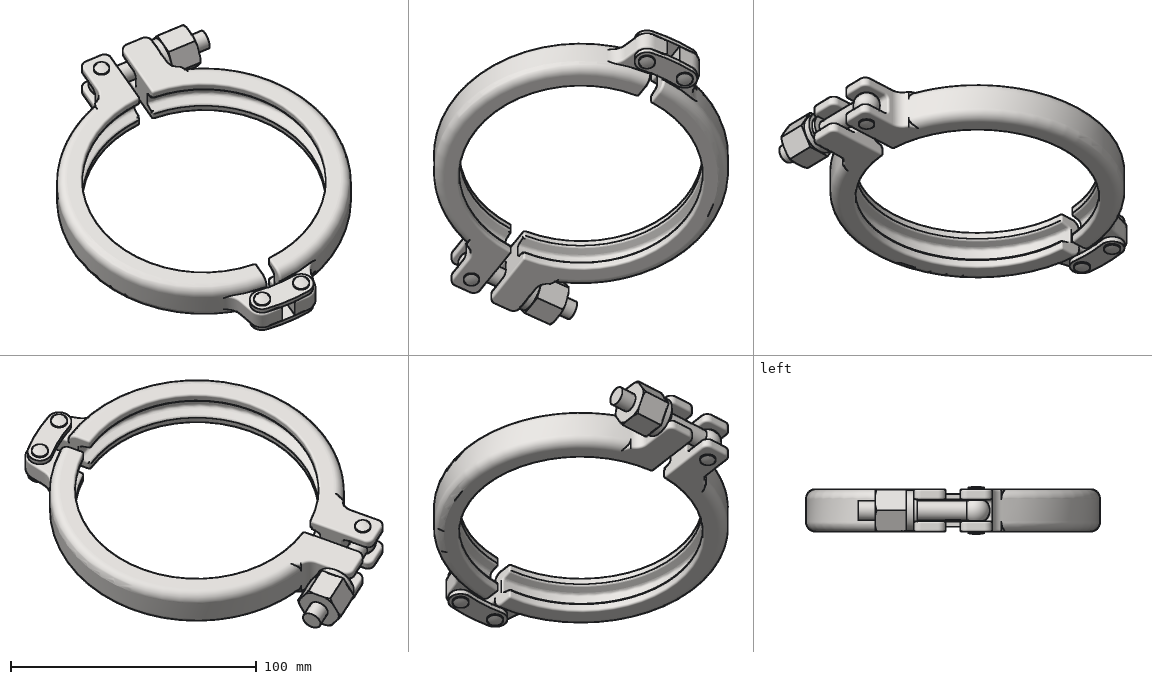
import cadquery as cq
import math

RING_OUTER_DIAMETER = 119.7
RING_OUTER_RADIUS = RING_OUTER_DIAMETER / 2
RING_INNER_RADIUS = 49.5
HALF_HEIGHT = 8.7
RING_ROUNDING = 4.1
EDGE_ROUNDING = 0.9
HALF_GAP = 2.9
CHANNEL_RADIUS = 54.3
CHANNEL_MOUTH_HALF_HEIGHT = 4.5
CHANNEL_FLOOR_HALF_HEIGHT = 3.4
CHANNEL_FLOOR_ROUNDING = 1.5

FORK_END_X = -77.3
FORK_OUTER_Y = 16.0
FORK_CORNER_RADIUS = 3.0
FORK_BLEND_RADIUS = 5.5
FORK_ROOT_RADIUS = 53.4
FORK_ROOT_ANGLE = 153.5
FORK_ROOT_X = -46.5
SLOT_HALF_HEIGHT = 4.4
SLOT_FLOOR_X = -64.3
SLOT_CORNER_RADIUS = 1.8

HINGE_X = 66.5
HINGE_Y = 9.0
LUG_RADIUS = 6.0
LUG_HALF_HEIGHT = 4.4
LUG_FLANK_ANGLE = 14.0
LUG_BLEND_RADIUS = 7.6
LUG_ROOT_X = 54.9
LINK_HALF_WIDTH = 5.0
LINK_THICKNESS = 2.3
HINGE_PIN_RADIUS = 3.4

PIN_CIRCLE_RADIUS = math.hypot(HINGE_X, HINGE_Y)
PIN_ANGLE = math.degrees(math.atan2(HINGE_Y, HINGE_X))

PIN_RIM_HEIGHT = 0.6
PIN_DOME_HEIGHT = 0.38
FORK_PIN_RADIUS = 3.2

BOLT_X = -70.3
FORK_PIN_Y = -(HALF_GAP + FORK_OUTER_Y) / 2
BALL_RADIUS = 5.5
BALL_HALF_HEIGHT = 4.1
ROD_RADIUS = 4.0
ROD_END_Y = 38.4
WASHER_RADIUS = 8.2
WASHER_THICKNESS = 2.9
COLLAR_RADIUS = 6.5
COLLAR_DEPTH = 1.5
NUT_CORNER_RADIUS = 9.8
NUT_HEIGHT = 12.7
NUT_CHAMFER_HEIGHT = 0.53
NUT_CHAMFER_WIDTH = 0.9


def polar(radius, degrees, center=(0, 0)):
    """Point at a distance and direction from a center."""
    angle = math.radians(degrees)
    return (center[0] + radius * math.cos(angle), center[1] + radius * math.sin(angle))


def disc(radius, half_height):
    return cq.Workplane("XY").circle(radius).extrude(half_height, both=True)


def bolt_cylinder(radius, start_y, end_y):
    """Round stretch of the bolt between two Y positions."""
    return cq.Workplane("XZ", origin=(BOLT_X, start_y, 0)).circle(radius).extrude(start_y - end_y)


def washer_collar():
    """Collar under the washer; it also shapes the seat in the upper arm."""
    return bolt_cylinder(COLLAR_RADIUS, FORK_OUTER_Y - COLLAR_DEPTH, FORK_OUTER_Y)



def ring_bore():
    """Cutter for the bore and the V-sided channel, rounded at its floor and mouths."""
    bore = disc(RING_INNER_RADIUS, 2 * HALF_HEIGHT)
    channel = (
        cq.Workplane("XZ")
        .moveTo(0, CHANNEL_MOUTH_HALF_HEIGHT)
        .lineTo(RING_INNER_RADIUS, CHANNEL_MOUTH_HALF_HEIGHT)
        .lineTo(CHANNEL_RADIUS, CHANNEL_FLOOR_HALF_HEIGHT)
        .lineTo(CHANNEL_RADIUS, -CHANNEL_FLOOR_HALF_HEIGHT)
        .lineTo(RING_INNER_RADIUS, -CHANNEL_MOUTH_HALF_HEIGHT)
        .lineTo(0, -CHANNEL_MOUTH_HALF_HEIGHT)
        .close()
        .revolve(360, (0, 0, 0), (0, 1, 0))
    )
    channel = channel.edges(cq.selectors.RadiusNthSelector(-1)).fillet(CHANNEL_FLOOR_ROUNDING)
    cutter = bore.union(channel)
    reach = 2 * CHANNEL_MOUTH_HALF_HEIGHT
    near_mouths = cq.selectors.BoxSelector((-1.5, -1.5, -reach), (1.5, 1.5, reach))
    mouths = cq.selectors.RadiusNthSelector(0)
    return cutter.edges("%CIRCLE").edges(near_mouths).edges(mouths).fillet(EDGE_ROUNDING)


def half_ring():
    ring = disc(RING_OUTER_RADIUS, HALF_HEIGHT).edges("%CIRCLE").fillet(RING_ROUNDING)
    ring = ring.cut(ring_bore())
    bore_rim = cq.selectors.RadiusNthSelector(0)
    ring = ring.faces("<Z or >Z").edges(bore_rim).fillet(EDGE_ROUNDING)
    size = 3 * RING_OUTER_RADIUS
    plus_y_side = cq.Workplane("XY").box(size, size, size).translate((0, HALF_GAP + size / 2, 0))
    return ring.intersect(plus_y_side).faces("<Y").edges().fillet(EDGE_ROUNDING)


def fork_slot():
    """Cutter for the slot, open at the arm's end and through along Y."""
    length = 2 * (SLOT_FLOOR_X - FORK_END_X)
    slot = cq.Workplane("XY").box(length, 4 * FORK_OUTER_Y, 2 * SLOT_HALF_HEIGHT)
    slot = slot.edges("|Y and >X").fillet(SLOT_CORNER_RADIUS)
    return slot.translate((SLOT_FLOOR_X - length / 2, 0, 0))


def fork_blank():
    """Arm outline, with its hollow rounding tangent to the ring."""
    center_y = FORK_OUTER_Y + FORK_BLEND_RADIUS
    center_x = -math.sqrt((RING_OUTER_RADIUS + FORK_BLEND_RADIUS) ** 2 - center_y**2)
    center = (center_x, center_y)
    toward_ring = math.degrees(math.atan2(-center_y, -center_x))
    return (
        cq.Workplane("XY")
        .moveTo(FORK_END_X, HALF_GAP)
        .lineTo(FORK_END_X, FORK_OUTER_Y)
        .lineTo(center_x, FORK_OUTER_Y)
        .threePointArc(
            polar(FORK_BLEND_RADIUS, (toward_ring - 90) / 2, center),
            polar(FORK_BLEND_RADIUS, toward_ring, center),
        )
        .lineTo(*polar(FORK_ROOT_RADIUS, FORK_ROOT_ANGLE))
        .lineTo(FORK_ROOT_X, HALF_GAP)
        .close()
        .extrude(HALF_HEIGHT, both=True)
        .edges("|Z and <X")
        .fillet(FORK_CORNER_RADIUS)
    )


def fork_arm():
    arm = fork_blank().faces("<Z or >Z").edges().fillet(EDGE_ROUNDING).cut(fork_slot())
    margin = EDGE_ROUNDING / 2
    slot_mouth = cq.selectors.BoxSelector(
        (FORK_END_X - margin, HALF_GAP - margin, -SLOT_HALF_HEIGHT - margin),
        (SLOT_FLOOR_X + margin, FORK_OUTER_Y + margin, SLOT_HALF_HEIGHT + margin),
    )
    arm = arm.edges(slot_mouth).edges("not |Y").fillet(EDGE_ROUNDING)
    rim_clearance = disc(RING_INNER_RADIUS + EDGE_ROUNDING, 2 * HALF_HEIGHT)
    return arm.cut(ring_bore()).cut(rim_clearance)


def hinge_lug():
    """Lug around the hinge pin, with a sloping flank that blends into the ring."""
    pin = (HINGE_X, HINGE_Y)
    flank_normal = 90 - LUG_FLANK_ANGLE
    flank_end = polar(LUG_RADIUS, flank_normal, pin)
    pin_along_normal = PIN_CIRCLE_RADIUS * math.cos(math.radians(flank_normal - PIN_ANGLE))
    blend_reach = RING_OUTER_RADIUS + LUG_BLEND_RADIUS
    blend_offset = pin_along_normal + LUG_RADIUS + LUG_BLEND_RADIUS
    blend_angle = flank_normal - math.degrees(math.acos(blend_offset / blend_reach))
    blend = polar(blend_reach, blend_angle)
    toward_flank = flank_normal - 180
    toward_ring = blend_angle - 180
    end_x = HINGE_X + LUG_RADIUS
    lug = (
        cq.Workplane("XY")
        .moveTo(LUG_ROOT_X, HALF_GAP)
        .lineTo(end_x, HALF_GAP)
        .lineTo(end_x, HINGE_Y)
        .threePointArc(polar(LUG_RADIUS, flank_normal / 2, pin), flank_end)
        .lineTo(*polar(LUG_BLEND_RADIUS, toward_flank, blend))
        .threePointArc(
            polar(LUG_BLEND_RADIUS, (toward_flank + toward_ring) / 2, blend),
            polar(LUG_BLEND_RADIUS, toward_ring, blend),
        )
        .lineTo(LUG_ROOT_X, HINGE_Y)
        .close()
        .extrude(LUG_HALF_HEIGHT, both=True)
    )
    return lug.faces("<Z or >Z").edges().fillet(EDGE_ROUNDING).cut(ring_bore())


def clamp_half():
    return half_ring().union(fork_arm()).union(hinge_lug())



def hinge_link():
    """Curved plate with round ends that lies on top of both lugs."""
    outer = PIN_CIRCLE_RADIUS + LINK_HALF_WIDTH
    inner = PIN_CIRCLE_RADIUS - LINK_HALF_WIDTH
    upper_end = polar(LINK_HALF_WIDTH, PIN_ANGLE + 90, (HINGE_X, HINGE_Y))
    lower_end = polar(LINK_HALF_WIDTH, -PIN_ANGLE - 90, (HINGE_X, -HINGE_Y))
    return (
        cq.Workplane("XY", origin=(0, 0, LUG_HALF_HEIGHT))
        .moveTo(*polar(outer, -PIN_ANGLE))
        .threePointArc((outer, 0), polar(outer, PIN_ANGLE))
        .threePointArc(upper_end, polar(inner, PIN_ANGLE))
        .threePointArc((inner, 0), polar(inner, -PIN_ANGLE))
        .threePointArc(lower_end, polar(outer, -PIN_ANGLE))
        .close()
        .extrude(LINK_THICKNESS)
    )


def domed_pin(radius, seat_height, x, y):
    """Vertical pin whose domed heads stand on seats above and below the XY plane."""
    rim = seat_height + PIN_RIM_HEIGHT
    top = rim + PIN_DOME_HEIGHT
    dome_radius = (radius**2 + PIN_DOME_HEIGHT**2) / (2 * PIN_DOME_HEIGHT)
    dome_middle = top - dome_radius + math.sqrt(dome_radius**2 - (radius / 2) ** 2)
    pin = (
        cq.Workplane("XZ")
        .moveTo(0, -top)
        .threePointArc((radius / 2, -dome_middle), (radius, -rim))
        .lineTo(radius, rim)
        .threePointArc((radius / 2, dome_middle), (0, top))
        .close()
        .revolve(360, (0, 0, 0), (0, 1, 0))
    )
    return pin.translate((x, y, 0))


def pin_hole(radius, x, y):
    return disc(radius, 2 * HALF_HEIGHT).translate((x, y, 0))



def make_upper_half():
    hinge_hole = pin_hole(HINGE_PIN_RADIUS, HINGE_X, HINGE_Y)
    return clamp_half().cut(washer_collar()).cut(hinge_hole)



def make_lower_half():
    body = clamp_half().mirror("XZ")
    link = hinge_link()
    body = body.union(link).union(link.mirror("XY"))
    seat = LUG_HALF_HEIGHT + LINK_THICKNESS
    for side in (1, -1):
        body = body.union(domed_pin(HINGE_PIN_RADIUS, seat, HINGE_X, side * HINGE_Y))
    return body.union(domed_pin(FORK_PIN_RADIUS, HALF_HEIGHT, BOLT_X, FORK_PIN_Y))



def ball_eye():
    ball = cq.Workplane("XY").sphere(BALL_RADIUS)
    return ball.intersect(disc(BALL_RADIUS, BALL_HALF_HEIGHT)).translate((BOLT_X, FORK_PIN_Y, 0))


def nut(start_y):
    end_y = start_y + NUT_HEIGHT
    hexagon = cq.Workplane("XZ", origin=(BOLT_X, start_y, 0)).polygon(6, 2 * NUT_CORNER_RADIUS)
    envelope = bolt_cylinder(NUT_CORNER_RADIUS, start_y, end_y)
    envelope = envelope.faces(">Y").chamfer(NUT_CHAMFER_HEIGHT, NUT_CHAMFER_WIDTH)
    return hexagon.extrude(-NUT_HEIGHT).intersect(envelope)


def make_bolt():
    washer_top = FORK_OUTER_Y + WASHER_THICKNESS
    body = bolt_cylinder(ROD_RADIUS, FORK_PIN_Y, ROD_END_Y).union(ball_eye())
    body = body.union(washer_collar())
    body = body.union(bolt_cylinder(WASHER_RADIUS, FORK_OUTER_Y, washer_top))
    body = body.union(nut(washer_top))
    return body.cut(pin_hole(FORK_PIN_RADIUS, BOLT_X, FORK_PIN_Y))


upper_half = make_upper_half()
lower_half = make_lower_half()
bolt = make_bolt()
result = cq.Compound.makeCompound([upper_half.solids().val(), lower_half.solids().val(), bolt.solids().val()])